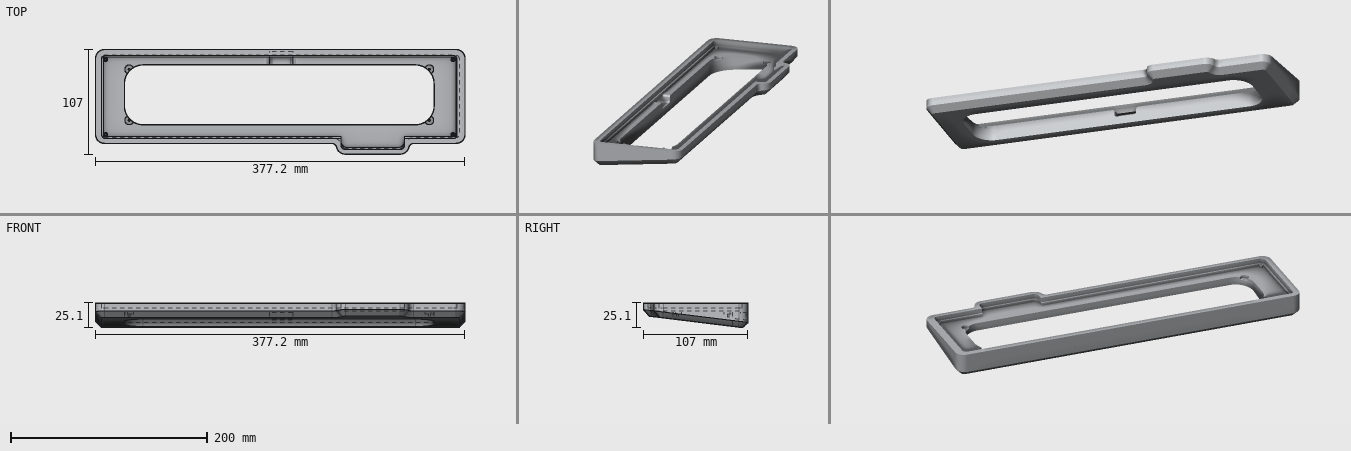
import cadquery as cq
import math

body_width = 377.21
total_depth = 107.02
tab_reach = 11.0
body_depth = total_depth - tab_reach
overall_height = 25.09
bottom_tilt = 7.0
bottom_chamfer = 6.0
corner_radius = 9.5

tab_center_x = 94.3
tab_flat_width = 55.5
tab_inner_radius = 4.75

left_wall = 6.3
right_wall = 8.2
back_wall = 6.2
front_wall = 5.0
upper_corner_radius = 4.0

tab_pocket_width = 64.6
lower_tab_radius = 6.0

ledge_depth = 5.0
floor_depth = 8.0
ledge_left = 2.0
ledge_right = 1.3
ledge_back = 1.6
ledge_front = 2.0

post_diameter = 4.0
pilot_diameter = 2.0
post_inset = 4.2

opening_left = 29.7
opening_right = 31.8
opening_back = 15.9
opening_front = 19.2
opening_radius = 19.0

seat_diameter = 9.0
seat_depth = 3.0
seat_pilot_depth = 3.0
seat_inset_x = 4.8
seat_inset_y = 4.5

notch_center_x = 0.9
notch_width = 23.8
notch_end_depth = 9.3
notch_undercut = 5.5
notch_roof_drop = 1.6
notch_overrun = 5.0
notch_radius = 2.4

x_left = -body_width / 2
x_right = body_width / 2
y_back = body_depth / 2
y_front = -body_depth / 2

upper_left = x_left + left_wall
upper_right = x_right - right_wall
upper_back = y_back - back_wall
upper_front = y_front + front_wall

lower_left = upper_left + ledge_left
lower_right = upper_right - ledge_right
lower_back = upper_back - ledge_back
lower_front = upper_front + ledge_front

hole_left = x_left + opening_left
hole_right = x_right - opening_right
hole_back = y_back - opening_back
hole_front = y_front + opening_front


def block(x0, x1, y0, y1, z_bottom, z_top):
    """Box between the given coordinates."""
    base = cq.Workplane("XY", origin=(x0, y0, z_bottom))
    return base.box(x1 - x0, y1 - y0, z_top - z_bottom, centered=False)


def cylinder(x, y, diameter, z_bottom, z_top):
    """Upright cylinder at (x, y)."""
    base = cq.Workplane("XY", origin=(x, y, z_bottom))
    return base.circle(diameter / 2).extrude(z_top - z_bottom)


def tab_outline():
    """Plan of the tab with its S-shaped shoulders, reaching back into the body."""
    y_tip = y_front - tab_reach
    flat_half = tab_flat_width / 2
    radius_sum = corner_radius + tab_inner_radius
    sweep = math.acos(1 - tab_reach / radius_sum)

    def on_convex(angle):
        return (
            flat_half + corner_radius * math.sin(angle),
            y_tip + corner_radius * (1 - math.cos(angle)),
        )

    def on_concave(angle):
        return (
            flat_half + radius_sum * math.sin(sweep) - tab_inner_radius * math.sin(angle),
            y_front - tab_inner_radius * (1 - math.cos(angle)),
        )

    right = [on_convex(sweep / 2), on_convex(sweep), on_concave(sweep / 2), on_concave(0)]
    right = [(tab_center_x + x, y) for x, y in right]
    left = [(2 * tab_center_x - x, y) for x, y in right]
    return (
        cq.Workplane("XY")
        .moveTo(tab_center_x - flat_half, y_tip)
        .lineTo(tab_center_x + flat_half, y_tip)
        .threePointArc(right[0], right[1])
        .threePointArc(right[2], right[3])
        .lineTo(right[3][0], 0)
        .lineTo(left[3][0], 0)
        .lineTo(*left[3])
        .threePointArc(left[2], left[1])
        .threePointArc(left[0], (tab_center_x - flat_half, y_tip))
        .close()
    )


def outer_body():
    """Wedge with its top at z = 0, a bottom sloping down toward the back and a chamfer around it."""
    tilt = math.radians(bottom_tilt)
    back_height = overall_height + bottom_chamfer * math.sin(tilt)
    front_height = back_height - total_depth * math.tan(tilt)

    plan = block(x_left, x_right, y_front, y_back, -back_height, 0).edges("|Z").fillet(corner_radius)
    plan = plan.union(tab_outline().extrude(-back_height))
    side_profile = [
        (y_back, 0),
        (y_back, -back_height),
        (y_front - tab_reach, -front_height),
        (y_front - tab_reach, 0),
    ]
    wedge = cq.Workplane("YZ").polyline(side_profile).close().extrude(body_width / 2, both=True)
    return plan.intersect(wedge).faces("<Z").edges().chamfer(bottom_chamfer)


def pockets():
    """Upper pocket and the smaller lower pocket, both reaching into the tab."""
    tab_left = tab_center_x - tab_pocket_width / 2
    tab_right = tab_center_x + tab_pocket_width / 2
    upper = block(upper_left, upper_right, upper_front, upper_back, -ledge_depth, 0)
    upper = upper.edges("|Z").fillet(upper_corner_radius)
    upper_tab = block(tab_left, tab_right, upper_front - tab_reach, 0, -ledge_depth, 0)
    upper_tab = upper_tab.edges("|Z and <Y").fillet(upper_corner_radius)
    lower = block(lower_left, lower_right, lower_front, lower_back, -floor_depth, 0)
    lower_tab = block(tab_left, tab_right, lower_front - tab_reach, 0, -floor_depth, 0)
    lower_tab = lower_tab.edges("|Z and <Y").fillet(lower_tab_radius)
    return upper.union(upper_tab).union(lower).union(lower_tab)


def opening():
    """Rounded opening through the floor."""
    hole = block(hole_left, hole_right, hole_front, hole_back, -overall_height, 0)
    return hole.edges("|Z").fillet(opening_radius)


def notch():
    """Cable notch with rounded lips, undercutting the back wall, its floor parallel to the bottom face."""
    half = notch_width / 2
    r = notch_radius
    z_lip = -floor_depth
    y_end = lower_back + notch_undercut
    length = y_end - hole_back + notch_overrun
    rise = length * math.tan(math.radians(bottom_tilt))
    z_bottom = z_lip - notch_end_depth

    channel_profile = (
        cq.Workplane("XZ", origin=(notch_center_x, y_end, 0))
        .moveTo(-half, z_lip)
        .lineTo(-half, z_bottom + r)
        .radiusArc((-half + r, z_bottom), -r)
        .lineTo(half - r, z_bottom)
        .radiusArc((half, z_bottom + r), -r)
        .lineTo(half, z_lip)
        .close()
        .wire()
        .val()
    )
    channel = cq.Workplane(cq.Solid.extrudeLinear(channel_profile, [], cq.Vector(0, -length, rise)))
    wall_above_undercut = block(x_left, x_right, lower_back, y_back, z_lip - notch_roof_drop, 0)

    lips = (
        cq.Workplane("XZ", origin=(notch_center_x, lower_back, 0))
        .moveTo(-half - r, z_lip)
        .radiusArc((-half, z_lip - r), r)
        .lineTo(half, z_lip - r)
        .radiusArc((half + r, z_lip), r)
        .close()
        .extrude(length)
    )
    return channel.cut(wall_above_undercut).union(lips)


def with_posts(body):
    """Add a drilled screw post in each corner of the upper pocket."""
    for x in (upper_left + post_inset, upper_right - post_inset):
        for y in (upper_front + post_inset, upper_back - post_inset):
            body = body.union(cylinder(x, y, post_diameter, -floor_depth, -ledge_depth))
            body = body.cut(cylinder(x, y, pilot_diameter, -floor_depth, -ledge_depth))
    return body


def with_seats(body):
    """Sink a drilled screw seat into the floor at each corner of the opening."""
    seat_floor = -floor_depth - seat_depth
    for x in (hole_left + seat_inset_x, hole_right - seat_inset_x):
        for y in (hole_front + seat_inset_y, hole_back - seat_inset_y):
            body = body.cut(cylinder(x, y, seat_diameter, seat_floor, -floor_depth))
            body = body.cut(cylinder(x, y, pilot_diameter, seat_floor - seat_pilot_depth, seat_floor))
    return body


frame = outer_body().cut(pockets()).cut(opening()).cut(notch())
result = with_seats(with_posts(frame))